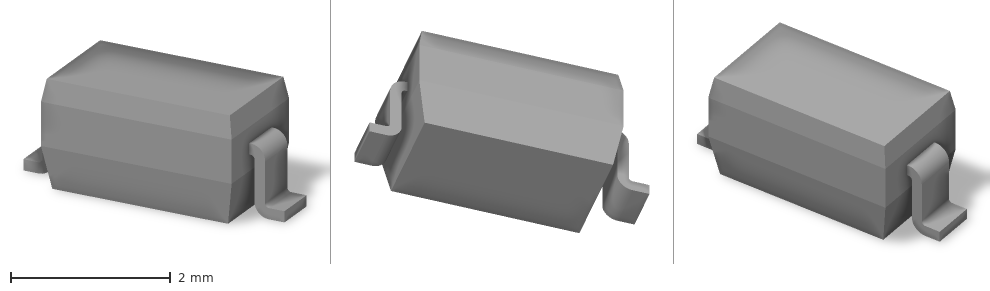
import cadquery as cq
import math

HOUSING_LENGTH = 2.7
HOUSING_WIDTH = 1.55
HOUSING_HEIGHT = 1.5
BELT_BOTTOM = 0.6
BELT_TOP = 1.2
DRAFT_ANGLE = 10.0

LEAD_SPAN = 3.7
LEAD_WIDTH = 0.6
LEAD_THICKNESS = 0.15
LEAD_TOP = 0.975
SHANK_OUTER_X = 1.575
BEND_INNER_RADIUS = 0.05
BEND_OUTER_RADIUS = BEND_INNER_RADIUS + LEAD_THICKNESS


def housing_layer(start_z, height, taper=0.0):
    """Housing layer with the full cross-section at start_z; a negative height builds it downward."""
    section = cq.Workplane("XY", origin=(0, 0, start_z)).rect(HOUSING_LENGTH, HOUSING_WIDTH)
    return section.extrude(height, taper=taper)


def make_housing():
    """Belt with a frustum on each side, tapering away from it."""
    belt = housing_layer(BELT_BOTTOM, BELT_TOP - BELT_BOTTOM)
    upper = housing_layer(BELT_TOP, HOUSING_HEIGHT - BELT_TOP, DRAFT_ANGLE)
    lower = housing_layer(BELT_BOTTOM, -BELT_BOTTOM, DRAFT_ANGLE)
    return belt.union(upper).union(lower)


def make_lead(side):
    """Z-bent strip touching the housing end; side is +1 or -1 along X."""
    root_x = side * HOUSING_LENGTH / 2
    outer_x = side * SHANK_OUTER_X
    inner_x = side * (SHANK_OUTER_X - LEAD_THICKNESS)
    tip_x = side * LEAD_SPAN / 2
    upper_centre_x = outer_x - side * BEND_OUTER_RADIUS
    upper_centre_z = LEAD_TOP - BEND_OUTER_RADIUS
    lower_centre_x = inner_x + side * BEND_OUTER_RADIUS
    lower_centre_z = BEND_OUTER_RADIUS
    diagonal = math.sqrt(0.5)

    def on_upper(radius):
        return (upper_centre_x + side * radius * diagonal, upper_centre_z + radius * diagonal)

    def on_lower(radius):
        return (lower_centre_x - side * radius * diagonal, lower_centre_z - radius * diagonal)

    return (
        cq.Workplane("XZ")
        .moveTo(root_x, LEAD_TOP)
        .lineTo(upper_centre_x, LEAD_TOP)
        .threePointArc(on_upper(BEND_OUTER_RADIUS), (outer_x, upper_centre_z))
        .lineTo(outer_x, lower_centre_z)
        .threePointArc(on_lower(BEND_INNER_RADIUS), (lower_centre_x, LEAD_THICKNESS))
        .lineTo(tip_x, LEAD_THICKNESS)
        .lineTo(tip_x, 0)
        .lineTo(lower_centre_x, 0)
        .threePointArc(on_lower(BEND_OUTER_RADIUS), (inner_x, lower_centre_z))
        .lineTo(inner_x, upper_centre_z)
        .threePointArc(on_upper(BEND_INNER_RADIUS), (upper_centre_x, LEAD_TOP - LEAD_THICKNESS))
        .lineTo(root_x, LEAD_TOP - LEAD_THICKNESS)
        .close()
        .extrude(LEAD_WIDTH / 2, both=True)
    )


housing = make_housing()
leads = [make_lead(side) for side in (-1, 1)]

result = cq.Compound.makeCompound([housing.val(), *[lead.val() for lead in leads]])